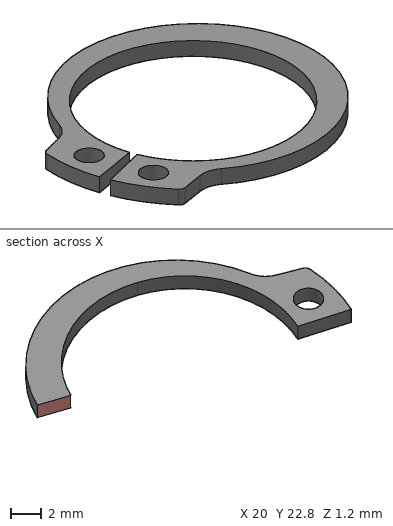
import cadquery as cq
import math

thickness = 1.2
overall_length = 22.8
overall_width = 20.0
outer_radius = overall_width / 2
bore_radius = 8.23
lug_tip_radius = 12.15

lug_root_half_width = 5.38
lug_root_y = -8.2
lug_side_taper = 2.5
lug_corner_radius = 0.45
lug_root_fillet = 2.05

gap_half_angle = 1.95
hole_radius = 1.0
hole_x = 2.45
hole_y = -9.9

lug_tip_y = -lug_tip_radius * math.cos(math.radians(gap_half_angle))
outer_offset = overall_length + lug_tip_y - outer_radius


def half_width_at(y):
    """Half width across the two lugs at position y."""
    return lug_root_half_width + (y - lug_root_y) * math.tan(math.radians(lug_side_taper))


def round_edges(body, low_y, high_y, radius):
    """Round the upright edges lying between two positions along Y."""
    band = cq.selectors.BoxSelector(
        (-lug_tip_radius, low_y, -thickness),
        (lug_tip_radius, high_y, 2 * thickness),
    )
    return body.edges("|Z").edges(band).fillet(radius)


def plate():
    """Outer disc blended into the tapered lug block."""
    disc = cq.Workplane("XY").center(0, outer_offset).circle(outer_radius).extrude(thickness)
    bottom_y = -lug_tip_radius
    top_half = half_width_at(0)
    bottom_half = half_width_at(bottom_y)
    wedge = (
        cq.Workplane("XY")
        .polyline([(-top_half, 0), (top_half, 0), (bottom_half, bottom_y), (-bottom_half, bottom_y)])
        .close()
        .extrude(thickness)
    )
    lug_limit = cq.Workplane("XY").circle(lug_tip_radius).extrude(thickness)
    blank = disc.union(wedge.intersect(lug_limit))
    blank = round_edges(blank, -lug_tip_radius, lug_root_y - lug_root_fillet, lug_corner_radius)
    return round_edges(blank, lug_root_y, -bore_radius / 2, lug_root_fillet)


def gap():
    """Wedge opening outwards from the bore centre."""
    reach = 2 * lug_tip_radius
    half = reach * math.tan(math.radians(gap_half_angle))
    return cq.Workplane("XY").polyline([(0, 0), (half, -reach), (-half, -reach)]).close().extrude(thickness)


bore = cq.Workplane("XY").circle(bore_radius).extrude(thickness)
plier_holes = (
    cq.Workplane("XY")
    .pushPoints([(-hole_x, hole_y), (hole_x, hole_y)])
    .circle(hole_radius)
    .extrude(thickness)
)

result = plate().cut(bore).cut(gap()).cut(plier_holes)